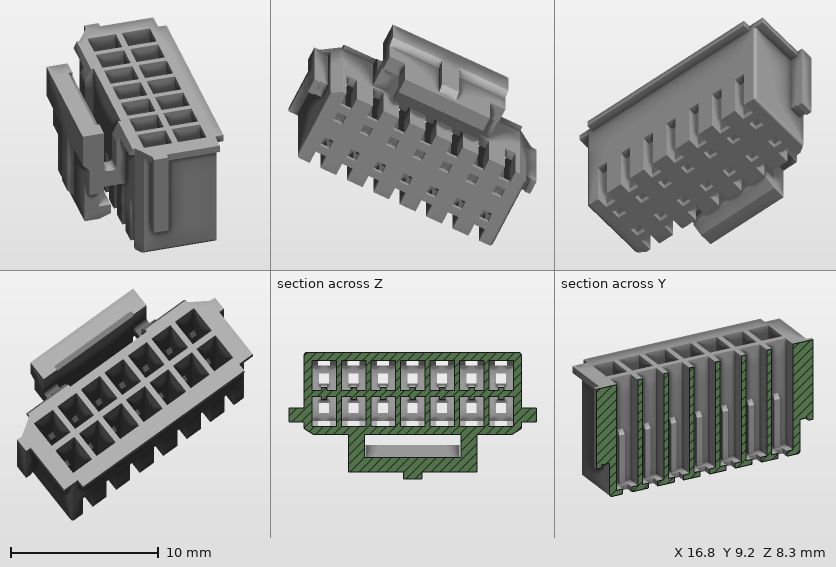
import cadquery as cq

HEIGHT = 8.3
BODY_WIDTH = 14.75
BODY_FRONT = 3.0
BODY_BACK = 8.62
EDGE_RADIUS = 0.22

RIM_THICKNESS = 0.5
RIM_BOTTOM = HEIGHT - RIM_THICKNESS
RIM_WIDTH = 16.03
RIM_CORNER_Y = 3.85
FRONT_WIDTH = 13.44
BACK_LIP_WIDTH = 13.71
BACK_LIP_Y = 9.2

RAIL_SPAN = 16.8
RAIL_WIDTH = 1.0
RAIL_FRONT = 3.85
RAIL_BOTTOM = 2.52
RAIL_TOE_WIDTH = 0.44
RAIL_TOE_DROP = 0.2

COLUMNS = 7
PITCH = 2.0
ROW_MIDDLE_Y = 5.81
CAVITY_WIDTH = 1.61
CAVITY_DEPTH = 2.0
DIVIDER = 0.42
FLOOR = 0.4
PIN_HOLE = 0.67
WINDOW_WIDTH = 0.8
WINDOW_TOP = 3.43
LEDGE_DEPTH = 0.32
NUB_WIDTH = 0.4
NUB_DEPTH = 0.32
NUB_TOP = 4.37

LATCH_WIDTH = 8.74
LATCH_BACK = 1.5
LATCH_OPENING = 6.52
TONGUE_WIDTH = 6.4
TONGUE_FRONT = 0.47
TONGUE_BOTTOM = 0.49
SHOULDER_Z = 3.41
ARM_BACK = 2.39
ARM_BOTTOM = 3.9
ARM_TOP = 5.12
ARM_RADIUS = 0.3
LEFT_ARM_BACK_RADIUS = 0.2
SLOPE_TOP_Y = 2.82
SLOPE_BOTTOM_Z = 7.32
HOOK_BACK = 2.32
HOOK_TOP = 1.51
HOOK_EDGE_Z = 0.8
PAD_BOTTOM = 5.91
RIB_WIDTH = 1.28
RIB_BOTTOM = 1.43
LEAD_IN = 0.3

MARGIN = 0.02


def block(x_range, y_range, z_range):
    """Box between pairs of limits."""
    size = [high - low for low, high in (x_range, y_range, z_range)]
    corner = (x_range[0], y_range[0], z_range[0])
    return cq.Workplane("XY").box(*size, centered=False).translate(corner)


def side_profile(points, width):
    """Extrude a closed (Y, Z) outline along X, centred on X = 0."""
    return cq.Workplane("YZ").polyline(points).close().extrude(width / 2, both=True)


def centred(width):
    return (-width / 2, width / 2)


def make_body():
    """Box with rounded back and bottom side edges that meet in mitred corners."""
    box = block(centred(BODY_WIDTH), (BODY_FRONT, BODY_BACK), (0, HEIGHT))
    rounded_back = box.edges("|Z and >Y").fillet(EDGE_RADIUS)
    rounded_bottom = box.edges("|Y and <Z").fillet(EDGE_RADIUS)
    return rounded_back.intersect(rounded_bottom)


def make_rim():
    return block(centred(RIM_WIDTH), (BODY_FRONT, BODY_BACK), (RIM_BOTTOM, HEIGHT)).union(
        block(centred(BACK_LIP_WIDTH), (BODY_BACK, BACK_LIP_Y), (RIM_BOTTOM, HEIGHT))
    )


def front_corner_cutter(side):
    """Prism that bevels one front corner of the body and the rim."""
    inner_x = side * FRONT_WIDTH / 2
    outer_x = side * RIM_WIDTH / 2
    points = [(inner_x, BODY_FRONT), (outer_x, RIM_CORNER_Y), (outer_x, BODY_FRONT)]
    return cq.Workplane("XY").polyline(points).close().extrude(HEIGHT)


def make_rail(side):
    """Guide rail with a toe along the lower end of its outer edge."""
    outer_x = side * RAIL_SPAN / 2
    toe_x = outer_x - side * RAIL_TOE_WIDTH
    body_x = side * BODY_WIDTH / 2
    toe_bottom = RAIL_BOTTOM - RAIL_TOE_DROP
    y_range = (RAIL_FRONT, RAIL_FRONT + RAIL_WIDTH)
    web = block(sorted((outer_x, body_x)), y_range, (RAIL_BOTTOM, HEIGHT))
    toe = block(sorted((outer_x, toe_x)), y_range, (toe_bottom, RAIL_BOTTOM))
    return web.union(toe)


def make_cavity():
    """Cutter for the front-row cavity at X = 0, leaving its 45-degree ledge and nub."""
    back = ROW_MIDDLE_Y - DIVIDER / 2
    front = back - CAVITY_DEPTH
    middle = ROW_MIDDLE_Y - PITCH / 2
    cavity = block(centred(CAVITY_WIDTH), (front, back), (FLOOR, HEIGHT))
    ledge = side_profile(
        [
            (front, FLOOR),
            (front + LEDGE_DEPTH, FLOOR),
            (front + LEDGE_DEPTH, WINDOW_TOP - LEDGE_DEPTH),
            (front, WINDOW_TOP),
        ],
        CAVITY_WIDTH,
    )
    nub = side_profile(
        [
            (back, FLOOR),
            (back - NUB_DEPTH, FLOOR),
            (back - NUB_DEPTH, NUB_TOP - NUB_DEPTH),
            (back, NUB_TOP),
        ],
        NUB_WIDTH,
    )
    window = block(centred(WINDOW_WIDTH), (BODY_FRONT, front + LEDGE_DEPTH), (0, WINDOW_TOP))
    pin_hole = block(centred(PIN_HOLE), centred(PIN_HOLE), (0, FLOOR)).translate((0, middle, 0))
    return cavity.cut(ledge).cut(nub).union(window).union(pin_hole)


def arm_root_selector(side, root_y):
    """Select the inner corner edge at the bottom of one arm's U-shaped gap."""
    arm_x = side * (LATCH_OPENING + LATCH_WIDTH) / 4
    return cq.selectors.BoxSelector(
        (arm_x - MARGIN, root_y - MARGIN, ARM_TOP - MARGIN),
        (arm_x + MARGIN, root_y + MARGIN, ARM_TOP + MARGIN),
    )


def make_latch():
    """Two arms carrying a rocking plate with a hook below and a thumb pad above."""
    arms = side_profile(
        [
            (BODY_FRONT, HEIGHT),
            (SLOPE_TOP_Y, HEIGHT),
            (ARM_BACK, SLOPE_BOTTOM_Z),
            (ARM_BACK, ARM_TOP),
            (LATCH_BACK, ARM_TOP),
            (LATCH_BACK, ARM_BOTTOM),
            (BODY_FRONT, ARM_BOTTOM),
        ],
        LATCH_WIDTH,
    )
    arms = arms.cut(block(centred(LATCH_OPENING), (LATCH_BACK, BODY_FRONT), (0, HEIGHT)))

    plate = side_profile(
        [
            (0, HEIGHT),
            (LATCH_BACK, HEIGHT),
            (LATCH_BACK, SHOULDER_Z),
            (TONGUE_FRONT, SHOULDER_Z),
            (TONGUE_FRONT, PAD_BOTTOM - TONGUE_FRONT),
            (0, PAD_BOTTOM),
        ],
        LATCH_WIDTH,
    )
    lead_in = side_profile(
        [
            (LATCH_BACK, HEIGHT),
            (LATCH_BACK - LEAD_IN, HEIGHT),
            (LATCH_BACK, HEIGHT - LEAD_IN),
        ],
        LATCH_OPENING,
    )
    tongue = side_profile(
        [
            (TONGUE_FRONT, SHOULDER_Z),
            (LATCH_BACK, SHOULDER_Z),
            (LATCH_BACK, HOOK_TOP),
            (HOOK_BACK, HOOK_TOP),
            (HOOK_BACK, HOOK_EDGE_Z),
            (LATCH_BACK, TONGUE_BOTTOM),
            (TONGUE_FRONT, TONGUE_BOTTOM),
        ],
        TONGUE_WIDTH,
    )
    rib = side_profile(
        [
            (0, PAD_BOTTOM),
            (TONGUE_FRONT, PAD_BOTTOM),
            (TONGUE_FRONT, RIB_BOTTOM - TONGUE_FRONT),
            (0, RIB_BOTTOM),
        ],
        RIB_WIDTH,
    )
    latch = arms.union(plate).cut(lead_in).union(tongue).union(rib)
    for side in (-1, 1):
        back_radius = LEFT_ARM_BACK_RADIUS if side < 0 else ARM_RADIUS
        for root_y, radius in ((LATCH_BACK, ARM_RADIUS), (ARM_BACK, back_radius)):
            latch = latch.edges(arm_root_selector(side, root_y)).fillet(radius)
    return latch


def make_front_lip():
    """Sloped edge of the rim on both sides of the latch opening."""
    slope_run = (SLOPE_TOP_Y - ARM_BACK) * RIM_THICKNESS / (HEIGHT - SLOPE_BOTTOM_Z)
    lip = side_profile(
        [
            (BODY_FRONT, HEIGHT),
            (SLOPE_TOP_Y, HEIGHT),
            (SLOPE_TOP_Y - slope_run, RIM_BOTTOM),
            (BODY_FRONT, RIM_BOTTOM),
        ],
        FRONT_WIDTH,
    )
    return lip.cut(block(centred(LATCH_OPENING), (0, BODY_FRONT), (0, HEIGHT)))


result = make_body().union(make_rim())
for side in (-1, 1):
    result = result.cut(front_corner_cutter(side)).union(make_rail(side))

front_cavity = make_cavity()
back_cavity = front_cavity.mirror("XZ", (0, ROW_MIDDLE_Y, 0))
for column in range(COLUMNS):
    column_x = (column - (COLUMNS - 1) / 2) * PITCH
    for cavity in (front_cavity, back_cavity):
        result = result.cut(cavity.translate((column_x, 0, 0)))

result = result.union(make_front_lip()).union(make_latch())